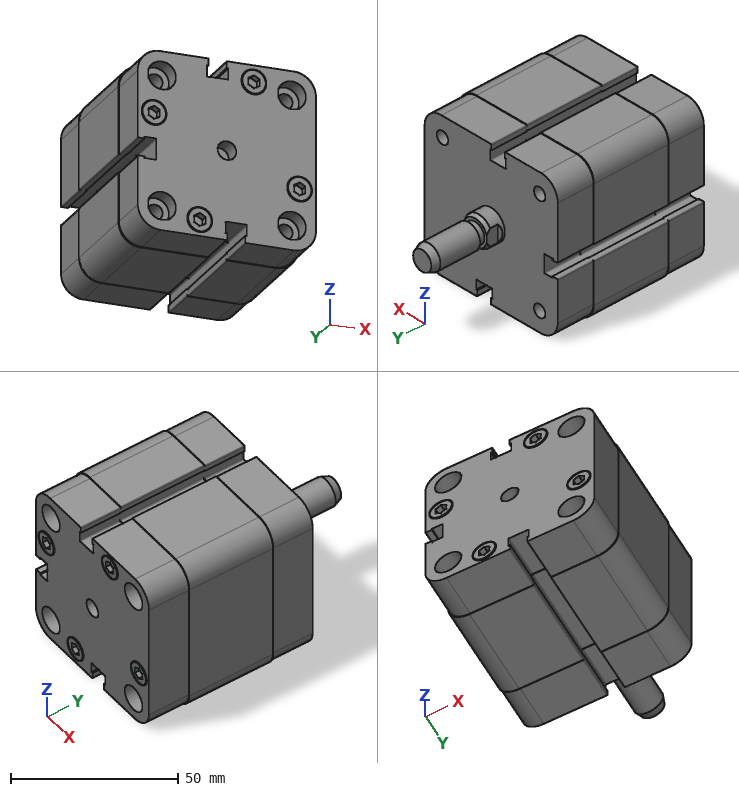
import cadquery as cq
import math


barrel_side = 58.1
cap_inset = 0.25
cap_side = barrel_side - 2 * cap_inset
corner_radius = 7.2
cap_length = 14.75
barrel_length = 31.0
body_length = barrel_length + 2 * cap_length

slot_offset = 3.0
slot_mouth_width = 5.8
slot_inner_width = 6.9
slot_lip_thickness = 2.25
slot_depth = 5.9
slot_edge_radius = 0.25
slot_floor_radius = 0.2
slot_turns = (0, 90, 180)

mount_spacing = 42.0
mount_hole_diameter = 4.92
counterbore_diameter = 9.0
counterbore_depth = 5.5

screw_x = 8.75
screw_z = 23.5
screw_recess_diameter = 8.0
screw_head_diameter = 7.5
hex_across_flats = 3.65
hex_depth = 2.5

center_hole_diameter = 6.0
center_hole_depth = 6.0

rod_projection = 28.5
rod_end = body_length + rod_projection
collar_diameter = 12.0
collar_length = 6.6
collar_chamfer_length = 1.45
collar_chamfer_height = 0.85
neck_diameter = 8.0
neck_length = 2.7
thread_diameter = 10.0
thread_start_chamfer = 0.3
tip_diameter = 7.9
tip_length = 2.8
wrench_across_flats = 10.0
wrench_flat_start = 2.0


def rear_plane(y):
    """Plane facing -Y, with local x along X and local y along Z."""
    return cq.Workplane("XZ", origin=(0, y, 0))


def slot_cutter(side, y_start, length):
    """T-slot opening to +Z in a square section of the given side."""
    surface = side / 2
    lip_bottom = surface - slot_lip_thickness
    floor = surface - slot_depth
    mouth_half = slot_mouth_width / 2
    inner_half = slot_inner_width / 2
    edge_half = mouth_half + slot_edge_radius
    edge_bottom = surface - slot_edge_radius
    diagonal = slot_edge_radius * math.cos(math.radians(45))
    edge_mid = (edge_half - diagonal, edge_bottom + diagonal)
    cutter = (
        rear_plane(y_start)
        .moveTo(0, floor)
        .lineTo(inner_half, floor)
        .lineTo(inner_half, lip_bottom)
        .lineTo(mouth_half, lip_bottom)
        .lineTo(mouth_half, edge_bottom)
        .threePointArc(edge_mid, (edge_half, surface))
        .lineTo(0, surface)
        .mirrorY()
        .extrude(-length)
        .edges("|Y and <Z")
        .fillet(slot_floor_radius)
    )
    return cutter.translate((-slot_offset, 0, 0))


def body_section(side, y_start, length):
    """Rounded square length of the body with its T-slots."""
    section = rear_plane(y_start).rect(side, side).extrude(-length)
    section = section.edges("|Y").fillet(corner_radius)
    cutter = slot_cutter(side, y_start, length)
    for turn in slot_turns:
        section = section.cut(cutter.rotate((0, 0, 0), (0, 1, 0), -turn))
    return section


def body():
    rear_cap = body_section(cap_side, 0, cap_length)
    barrel = body_section(barrel_side, cap_length, barrel_length)
    front_cap = body_section(cap_side, cap_length + barrel_length, cap_length)
    return rear_cap.union(barrel).union(front_cap)


def mount_hole_cutter():
    """Through holes with counterbores in the rear face."""
    holes = rear_plane(0).rect(mount_spacing, mount_spacing, forConstruction=True).vertices()
    through = holes.circle(mount_hole_diameter / 2).extrude(-body_length)
    bores = rear_plane(0).rect(mount_spacing, mount_spacing, forConstruction=True).vertices()
    return through.union(bores.circle(counterbore_diameter / 2).extrude(-counterbore_depth))


def screw_cutter():
    """Beveled rims and hexagon sockets of the cap screws; all hexagons point along Z."""
    quarter_turns = [(screw_x, screw_z), (-screw_z, screw_x), (-screw_x, -screw_z), (screw_z, -screw_x)]
    recess_radius = screw_recess_diameter / 2
    head_radius = screw_head_diameter / 2
    chamfer = recess_radius - head_radius
    bevel = (
        cq.Workplane("XY")
        .polyline([(head_radius, 0), (recess_radius, 0), (recess_radius, chamfer)])
        .close()
        .revolve(360, (0, 0, 0), (0, 1, 0))
    )
    hex_across_corners = hex_across_flats / math.cos(math.radians(30))
    socket = rear_plane(0).polygon(6, hex_across_corners).extrude(-hex_depth)
    screw = bevel.union(socket.rotate((0, 0, 0), (0, 1, 0), 30))
    cutter = cq.Workplane("XY")
    for x, z in quarter_turns:
        cutter = cutter.add(screw.translate((x, 0, z)).vals())
    return cutter.combine()


def piston_rod():
    """Turned rod: collar with wrench flats, neck and chamfered thread."""
    collar_end = body_length + collar_length
    neck_end = collar_end + neck_length
    collar_radius = collar_diameter / 2
    thread_radius = thread_diameter / 2
    neck_radius = neck_diameter / 2
    rod = (
        cq.Workplane("XY")
        .moveTo(0, body_length)
        .lineTo(collar_radius, body_length)
        .lineTo(collar_radius, collar_end - collar_chamfer_length)
        .lineTo(collar_radius - collar_chamfer_height, collar_end)
        .lineTo(neck_radius, collar_end)
        .lineTo(neck_radius, neck_end - thread_start_chamfer)
        .lineTo(thread_radius, neck_end)
        .lineTo(thread_radius, rod_end - tip_length)
        .lineTo(tip_diameter / 2, rod_end)
        .lineTo(0, rod_end)
        .close()
        .revolve(360, (0, 0, 0), (0, 1, 0))
    )
    flat_x = wrench_across_flats / 2
    flat_y = body_length + wrench_flat_start
    run_out = collar_radius - flat_x
    flat = (
        cq.Workplane("XY")
        .moveTo(flat_x, flat_y)
        .lineTo(flat_x, collar_end)
        .lineTo(collar_radius, collar_end)
        .lineTo(collar_radius, flat_y - run_out)
        .close()
        .extrude(collar_radius, both=True)
    )
    return rod.cut(flat).cut(flat.mirror("YZ"))


center_hole = rear_plane(0).circle(center_hole_diameter / 2).extrude(-center_hole_depth)

result = body().cut(mount_hole_cutter()).cut(screw_cutter()).cut(center_hole).union(piston_rod())